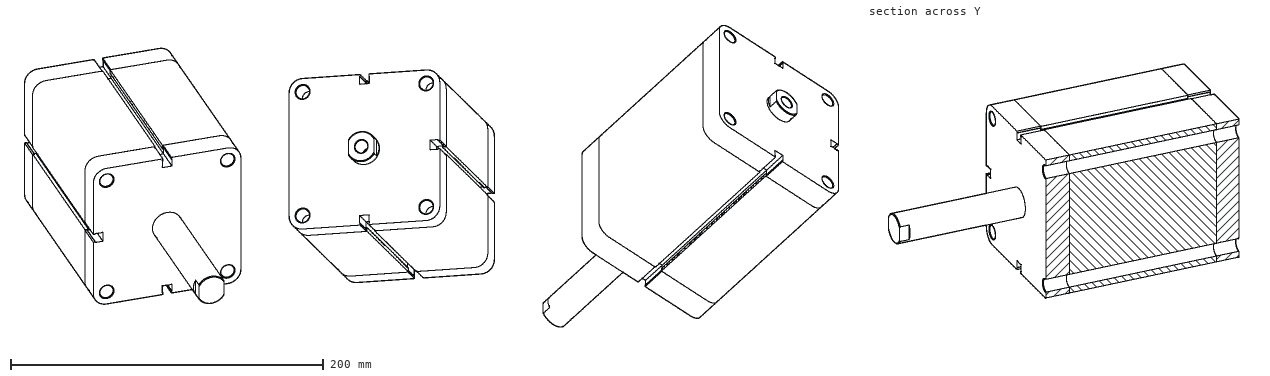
import cadquery as cq
import math

ROD_LENGTH = 232.5
LEFT_ROD_OVERHANG = 7.8
LEFT_COVER_THICKNESS = 16.1
BARREL_LENGTH = 103.8
RIGHT_COVER_THICKNESS = 16.7
ROD_START = -ROD_LENGTH / 2
LEFT_COVER_START = ROD_START + LEFT_ROD_OVERHANG
BARREL_START = LEFT_COVER_START + LEFT_COVER_THICKNESS
RIGHT_COVER_START = BARREL_START + BARREL_LENGTH
RIGHT_COVER_END = RIGHT_COVER_START + RIGHT_COVER_THICKNESS

WIDTH = 100.0
CORNER_RADIUS = 9.0
BOLT_SPACING = WIDTH - 2 * CORNER_RADIUS
BOLT_HOLE_DIAMETER = 8.9
BOLT_HOLE_CHAMFER = 0.5
CHAMFER_ANGLE = 45.0

SLOT_ANGLES = (0, 90, 180)
SLOT_WIDTH = 6.4
SLOT_DEPTH = 6.4
BARREL_MOUTH_WIDTH = 5.0
BARREL_LIP_THICKNESS = 2.6
COVER_MOUTH_WIDTH = 5.8
COVER_LIP_THICKNESS = 1.4

ROD_DIAMETER = 20.0
ACROSS_FLATS = 17.0
LEFT_FLAT_LENGTH = 6.5
RIGHT_FLAT_LENGTH = 6.8
ROD_CHAMFER = 0.5
TAP_DIAMETER = 8.4
TAP_CHAMFER = 0.4
TAP_DEPTH = 20.0
DRILL_POINT_ANGLE = 118.0


def slot_cutter(start, length, width, near_depth, far_depth):
    """Box sunk into the top face at X = start, reaching from near_depth to far_depth."""
    return cq.Workplane("XY").box(
        length, width, far_depth - near_depth, centered=(False, True, False)
    ).translate((start, 0, WIDTH / 2 - far_depth))


def square_block(start, length, mouth_width, lip_thickness):
    """Rounded square block with bolt holes, rod bore and three slots."""
    block = (
        cq.Workplane("YZ", origin=(start, 0, 0))
        .rect(WIDTH, WIDTH)
        .extrude(length)
        .edges("|X")
        .fillet(CORNER_RADIUS)
    )
    holes = (
        cq.Workplane("YZ", origin=(start, 0, 0))
        .rect(BOLT_SPACING, BOLT_SPACING, forConstruction=True)
        .vertices()
        .circle(BOLT_HOLE_DIAMETER / 2)
        .extrude(length)
    )
    bore = cq.Workplane("YZ", origin=(start, 0, 0)).circle(ROD_DIAMETER / 2).extrude(length)
    block = block.cut(holes).cut(bore)
    slot = slot_cutter(start, length, SLOT_WIDTH, lip_thickness, SLOT_DEPTH)
    slot = slot.union(slot_cutter(start, length, mouth_width, 0, SLOT_DEPTH))
    for angle in SLOT_ANGLES:
        block = block.cut(slot.rotate((0, 0, 0), (1, 0, 0), angle))
    return block


def bolt_hole_chamfers(face, inward):
    """Cones that break the bolt hole edges on a cover's outer face; inward is +1 or -1 along X."""
    return (
        cq.Workplane("YZ", origin=(face, 0, 0))
        .rect(BOLT_SPACING, BOLT_SPACING, forConstruction=True)
        .vertices()
        .circle(BOLT_HOLE_DIAMETER / 2 + BOLT_HOLE_CHAMFER)
        .extrude(inward * BOLT_HOLE_CHAMFER, taper=CHAMFER_ANGLE)
    )


def cover(start, thickness, outer_face, inward):
    block = square_block(start, thickness, COVER_MOUTH_WIDTH, COVER_LIP_THICKNESS)
    return block.cut(bolt_hole_chamfers(outer_face, inward))


def barrel():
    return square_block(
        BARREL_START, BARREL_LENGTH, BARREL_MOUTH_WIDTH, BARREL_LIP_THICKNESS
    )


def wrench_flats(start, length):
    """Pair of boxes that trims the rod to its across-flats width along Y."""
    flat_depth = (ROD_DIAMETER - ACROSS_FLATS) / 2
    flat_centre = (ROD_DIAMETER + ACROSS_FLATS) / 4
    return (
        cq.Workplane("YZ", origin=(start, 0, 0))
        .pushPoints([(-flat_centre, 0), (flat_centre, 0)])
        .rect(flat_depth, ROD_DIAMETER)
        .extrude(length)
    )


def tapped_hole():
    """Blind hole in the left rod end with a chamfered mouth and a conical drill point."""
    radius = TAP_DIAMETER / 2
    point_length = radius / math.tan(math.radians(DRILL_POINT_ANGLE / 2))
    profile = [
        (0, 0),
        (0, radius + TAP_CHAMFER),
        (TAP_CHAMFER, radius),
        (TAP_DEPTH, radius),
        (TAP_DEPTH + point_length, 0),
    ]
    return (
        cq.Workplane("XY", origin=(ROD_START, 0, 0))
        .polyline(profile)
        .close()
        .revolve(360, (0, 0, 0), (1, 0, 0))
    )


def piston_rod():
    rod = cq.Workplane("YZ", origin=(ROD_START, 0, 0)).circle(ROD_DIAMETER / 2).extrude(ROD_LENGTH)
    rod = rod.faces("<X or >X").chamfer(ROD_CHAMFER)
    rod_end = ROD_START + ROD_LENGTH
    return (
        rod.cut(wrench_flats(ROD_START, LEFT_FLAT_LENGTH))
        .cut(wrench_flats(rod_end - RIGHT_FLAT_LENGTH, RIGHT_FLAT_LENGTH))
        .cut(tapped_hole())
    )


left_cover = cover(LEFT_COVER_START, LEFT_COVER_THICKNESS, LEFT_COVER_START, 1)
right_cover = cover(RIGHT_COVER_START, RIGHT_COVER_THICKNESS, RIGHT_COVER_END, -1)

result = cq.Compound.makeCompound(
    [left_cover.val(), barrel().val(), right_cover.val(), piston_rod().val()]
)